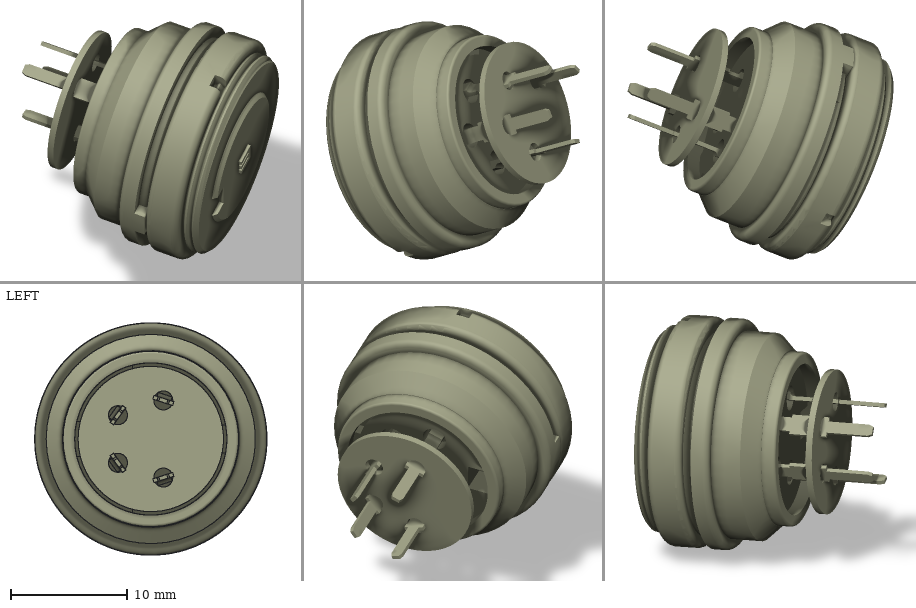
import cadquery as cq
import math

TIP_X = 0.0
PIN_SHOULDER_X = 4.02
DISC_REAR_X = 4.49
DISC_FRONT_X = 5.04
PIN_NECK_X = 7.32
BODY_REAR_X = 7.4
INSERT_REAR_X = 8.55
CONE_REAR_X = 8.65
CONE_FRONT_X = 10.12
FLANGE_REAR_X = 12.73
FLANGE_FRONT_X = 14.25
BARREL_REAR_X = (FLANGE_REAR_X + FLANGE_FRONT_X) / 2
NUT_REAR_X = 15.24
NUT_FRONT_X = 18.24
THREAD_END_X = 19.73
HUB_FRONT_X = 20.13
MARK_FRONT_X = 20.4

OUTER_DIA = 20.0
BODY_DIA = 18.0
CONE_REAR_DIA = 15.2
LIP_DIA = 15.1
RECESS_DIA = 13.1
DISC_DIA = 12.5
HUB_DIA = 11.81

LIP_ROUND = 0.2
FLANGE_ROUND = 0.49
NUT_ROUND = 0.53
HUB_CHAMFER = 0.33

THREAD_PITCH = 0.75
THREAD_DEPTH = 0.45
GROOVE_HALF_WIDTH = 0.35
THREAD_START_X = 14.57
THREAD_START_ANGLE = -152.0
THREAD_OVERRUN = 0.4
THREAD_CHAMFER = 0.4
CUT_CLEARANCE = 0.08

TAB_WIDTH = 2.6
TAB_CORNER = 0.12
NUT_SLOT_WIDTH = 1.22
NUT_SLOT_LENGTH = 1.02
KEY_WIDTH = 2.45
KEY_FLOOR_Y = -4.2
REAR_KEY_DEPTH = 2.45

RELIEF_INNER_DIA = 12.08
RELIEF_START_Y = 1.6
RELIEF_START_Z = 1.5
RELIEF_DEPTH = 1.02

PIN_CIRCLE_RADIUS = 3.49
PIN_ANGLES = (36, 108, -36, -108)
PIN_THICKNESS = 0.35
BLADE_WIDTH = 1.05
SHANK_WIDTH = 1.8
NECK_WIDTH = 1.26
PIN_TIP_LENGTH = 0.37
PIN_TIP_SETBACK = 0.16
DISC_HOLE_DIA = 1.63
RAMP_START_X = 8.05
RAMP_RADIUS = 0.35
CONTACT_POCKET_DIA = 2.16
CONTACT_POCKET_DEPTH = 1.02

MARK_WIDTH = 1.95
MARK_BAR = 0.43
MARK_GAP = 0.215


def disc_along_x(diameter, start_x, end_x):
    """Cylinder on the main axis between two stations."""
    return cq.Workplane("YZ", origin=(start_x, 0, 0)).circle(diameter / 2).extrude(end_x - start_x)


def block(x_range, y_range, z_range):
    """Box given by its limits along each axis."""
    size = [high - low for low, high in (x_range, y_range, z_range)]
    low_corner = (x_range[0], y_range[0], z_range[0])
    return cq.Workplane("XY").box(*size, centered=False).translate(low_corner)


def make_shell():
    """Lip, cone, cylinder, rear flange, threaded barrel and hub."""
    lip = disc_along_x(LIP_DIA, BODY_REAR_X, CONE_REAR_X).faces("<X").edges().fillet(LIP_ROUND)
    cone = (
        cq.Workplane("XY")
        .moveTo(CONE_REAR_X, 0)
        .lineTo(CONE_REAR_X, CONE_REAR_DIA / 2)
        .lineTo(CONE_FRONT_X, BODY_DIA / 2)
        .lineTo(FLANGE_REAR_X, BODY_DIA / 2)
        .lineTo(FLANGE_REAR_X, 0)
        .close()
        .revolve(360, (0, 0, 0), (1, 0, 0))
    )
    flange = disc_along_x(OUTER_DIA, FLANGE_REAR_X, FLANGE_FRONT_X)
    flange = flange.faces("<X").edges().fillet(FLANGE_ROUND)
    hub = disc_along_x(HUB_DIA, THREAD_END_X, HUB_FRONT_X).faces(">X").edges().chamfer(HUB_CHAMFER)
    recess = disc_along_x(RECESS_DIA, BODY_REAR_X, INSERT_REAR_X)
    rear_body = lip.union(cone).union(flange).cut(recess)
    return rear_body.union(make_threaded_barrel().union(hub))


def make_threaded_barrel():
    """Barrel with a right-handed V thread, built around Z and then laid along X."""
    barrel = (
        cq.Workplane("XY", origin=(0, 0, BARREL_REAR_X - THREAD_START_X))
        .circle(BODY_DIA / 2)
        .extrude(THREAD_END_X - BARREL_REAR_X)
        .faces(">Z")
        .edges()
        .chamfer(THREAD_CHAMFER)
    )
    root_radius = BODY_DIA / 2 - THREAD_DEPTH
    mouth_radius = BODY_DIA / 2 + CUT_CLEARANCE
    helix_length = THREAD_END_X - THREAD_START_X + THREAD_OVERRUN
    helix = cq.Workplane(obj=cq.Wire.makeHelix(THREAD_PITCH, helix_length, root_radius))
    groove = (
        cq.Workplane("XZ")
        .polyline([
            (root_radius, 0),
            (mouth_radius, GROOVE_HALF_WIDTH),
            (mouth_radius, -GROOVE_HALF_WIDTH),
        ])
        .close()
        .sweep(helix, isFrenet=True)
    )
    threaded = barrel.cut(groove).rotate((0, 0, 0), (0, 1, 0), 90)
    threaded = threaded.rotate((0, 0, 0), (1, 0, 0), THREAD_START_ANGLE + 90)
    return threaded.translate((THREAD_START_X, 0, 0))


def make_tab():
    """Locating tab on the front of the flange, on the -Y side."""
    tab = disc_along_x(OUTER_DIA, FLANGE_FRONT_X, NUT_REAR_X)
    window = block(
        (FLANGE_FRONT_X, NUT_REAR_X),
        (-OUTER_DIA / 2, -BODY_DIA / 2 + THREAD_DEPTH),
        (-TAB_WIDTH / 2, TAB_WIDTH / 2),
    )
    window = window.faces(">X").edges("|Y").fillet(TAB_CORNER)
    return tab.intersect(window)


def make_nut():
    """Ring nut with two opposite spanner slots in its front face."""
    bore_dia = BODY_DIA - 2 * THREAD_DEPTH - CUT_CLEARANCE
    nut = disc_along_x(OUTER_DIA, NUT_REAR_X, NUT_FRONT_X).edges().fillet(NUT_ROUND)
    nut = nut.cut(disc_along_x(bore_dia, NUT_REAR_X, NUT_FRONT_X))
    slots = block(
        (NUT_FRONT_X - NUT_SLOT_LENGTH, NUT_FRONT_X),
        (-NUT_SLOT_WIDTH / 2, NUT_SLOT_WIDTH / 2),
        (-OUTER_DIA / 2, OUTER_DIA / 2),
    )
    return nut.cut(slots)


def make_keyways():
    """Rear keyway in the insert and front notch in the hub, both on the -Y side."""
    key_sides = (-KEY_WIDTH / 2, KEY_WIDTH / 2)
    rear = block(
        (INSERT_REAR_X, INSERT_REAR_X + REAR_KEY_DEPTH), (-RECESS_DIA / 2, KEY_FLOOR_Y), key_sides
    ).intersect(disc_along_x(RECESS_DIA, INSERT_REAR_X, INSERT_REAR_X + REAR_KEY_DEPTH))
    front = block((THREAD_END_X, HUB_FRONT_X), (-HUB_DIA / 2, KEY_FLOOR_Y), key_sides)
    return rear.union(front)


def make_reliefs():
    """Two mirrored pockets between the rim of the insert and the recess wall."""
    end_x = INSERT_REAR_X + RELIEF_DEPTH
    rim = disc_along_x(RECESS_DIA, INSERT_REAR_X, end_x)
    rim = rim.cut(disc_along_x(RELIEF_INNER_DIA, INSERT_REAR_X, end_x))
    reach = RECESS_DIA / 2
    window = block((INSERT_REAR_X, end_x), (RELIEF_START_Y, reach), (RELIEF_START_Z, reach))
    upper = rim.intersect(window)
    return upper.union(upper.mirror("XY"))


def place_on_pin_circle(shape):
    """Copies of a shape from the main axis, radial direction +Y, to each pin."""
    offset = shape.translate((0, PIN_CIRCLE_RADIUS, 0))
    copies = cq.Workplane("XY")
    for angle in PIN_ANGLES:
        copies = copies.union(offset.rotate((0, 0, 0), (1, 0, 0), angle))
    return copies


def flat_bar(start_x, end_x, width):
    """Bar of pin thickness on the main axis, thickness along Y and width along Z."""
    return block((start_x, end_x), (-PIN_THICKNESS / 2, PIN_THICKNESS / 2), (-width / 2, width / 2))


def make_pin():
    """Flat pin: beveled blade, wider shank, narrow neck, and a thicker
    contact that rises from the neck in a concave ramp on the outward side."""
    blade = flat_bar(TIP_X, PIN_SHOULDER_X, BLADE_WIDTH)
    for side in (1, -1):
        edge_z = side * BLADE_WIDTH / 2
        bevel = (
            cq.Workplane("XZ")
            .polyline([
                (TIP_X, edge_z),
                (TIP_X + PIN_TIP_LENGTH, edge_z),
                (TIP_X, edge_z - side * PIN_TIP_SETBACK),
            ])
            .close()
            .extrude(PIN_THICKNESS, both=True)
        )
        blade = blade.cut(bevel)
    shank = flat_bar(PIN_SHOULDER_X, PIN_NECK_X, SHANK_WIDTH)
    neck_end_x = INSERT_REAR_X + CONTACT_POCKET_DEPTH
    neck = flat_bar(PIN_NECK_X, neck_end_x, NECK_WIDTH)
    inner_y = PIN_THICKNESS / 2
    outer_y = inner_y + RAMP_RADIUS
    arc_setback = RAMP_RADIUS * math.sin(math.radians(45))
    contact = (
        cq.Workplane("XY", origin=(0, 0, -NECK_WIDTH / 2))
        .moveTo(RAMP_START_X, inner_y)
        .threePointArc(
            (RAMP_START_X + arc_setback, outer_y - arc_setback),
            (RAMP_START_X + RAMP_RADIUS, outer_y),
        )
        .lineTo(neck_end_x, outer_y)
        .lineTo(neck_end_x, -inner_y)
        .lineTo(RAMP_START_X, -inner_y)
        .close()
        .extrude(NECK_WIDTH)
    )
    return blade.union(shank).union(neck).union(contact)


def make_disc():
    """Thin disc held on the pin shanks."""
    holes = place_on_pin_circle(disc_along_x(DISC_HOLE_DIA, DISC_REAR_X, DISC_FRONT_X))
    return disc_along_x(DISC_DIA, DISC_REAR_X, DISC_FRONT_X).cut(holes)


def make_mark():
    """Three bars joined by a spine on the +Y side."""
    pitch = MARK_BAR + MARK_GAP
    half_width = MARK_WIDTH / 2
    half_height = pitch + MARK_BAR / 2
    x_range = (HUB_FRONT_X, MARK_FRONT_X)
    mark = block(x_range, (half_width - MARK_BAR, half_width), (-half_height, half_height))
    for center_z in (-pitch, 0, pitch):
        z_range = (center_z - MARK_BAR / 2, center_z + MARK_BAR / 2)
        mark = mark.union(block(x_range, (-half_width, half_width), z_range))
    return mark


contact_pocket = disc_along_x(
    CONTACT_POCKET_DIA, INSERT_REAR_X, INSERT_REAR_X + CONTACT_POCKET_DEPTH
)
result = (
    make_shell()
    .cut(make_keyways())
    .cut(make_reliefs())
    .cut(place_on_pin_circle(contact_pocket))
    .union(make_tab())
    .union(make_nut())
    .union(place_on_pin_circle(make_pin()))
    .union(make_disc())
    .union(make_mark())
)